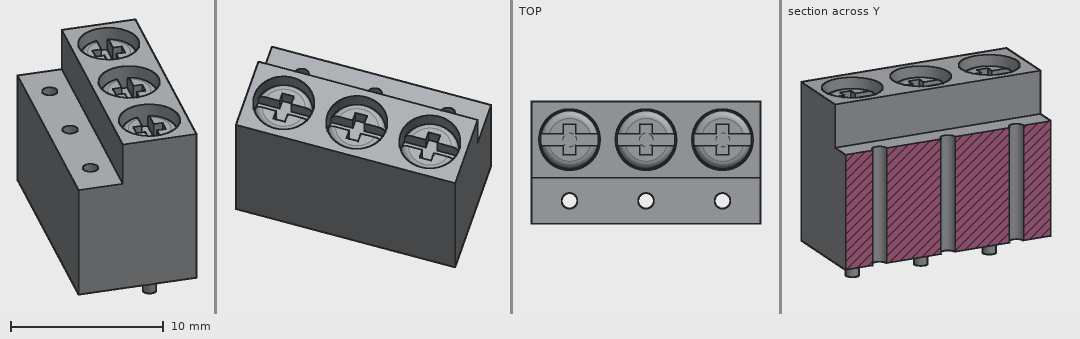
import cadquery as cq

POLES = 3
LENGTH = 15.0
PITCH = LENGTH / POLES

BLOCK_DEPTH = PITCH
SHELF_DEPTH = 3.0
DEPTH = BLOCK_DEPTH + SHELF_DEPTH
STEP_HEIGHT = 3.0
SHELF_HEIGHT = DEPTH
BLOCK_HEIGHT = SHELF_HEIGHT + STEP_HEIGHT

WIRE_HOLE_DIAMETER = 1.0

PIN_DIAMETER = 0.9
PIN_LENGTH = 2.0

POCKET_DIAMETER = 4.0
HEAD_DIAMETER = 3.8
HEAD_ROUNDING = 0.5
HEAD_RECESS = 0.6
HEAD_HEIGHT = 1.5

SLOT_WIDTH = 0.8
SLOT_DEPTH = 1.0
CROSS_LENGTH = 2.0

WIRE_ROW_Y = SHELF_DEPTH / 2
SCREW_ROW_Y = SHELF_DEPTH + BLOCK_DEPTH / 2
HEAD_TOP_Z = BLOCK_HEIGHT - HEAD_RECESS
HEAD_BASE_Z = HEAD_TOP_Z - HEAD_HEIGHT

pole_x = [(i - (POLES - 1) / 2) * PITCH for i in range(POLES)]


def at_poles(row_y, z):
    """Workplane at height z with one point per pole along a row."""
    points = [(x, row_y) for x in pole_x]
    return cq.Workplane("XY").workplane(offset=z).pushPoints(points)


def make_housing():
    """Stepped block, extruded along its length."""
    profile = [
        (0, 0),
        (DEPTH, 0),
        (DEPTH, BLOCK_HEIGHT),
        (SHELF_DEPTH, BLOCK_HEIGHT),
        (SHELF_DEPTH, SHELF_HEIGHT),
        (0, SHELF_HEIGHT),
    ]
    return cq.Workplane("YZ").polyline(profile).close().extrude(LENGTH / 2, both=True)


def make_screw_head():
    """Round-edged head with its base on Z = 0 and a crossed driver recess."""
    head = cq.Workplane("XY").circle(HEAD_DIAMETER / 2).extrude(HEAD_HEIGHT)
    head = head.faces(">Z").edges().fillet(HEAD_ROUNDING)
    top = cq.Workplane("XY").workplane(offset=HEAD_HEIGHT)
    slot = top.rect(HEAD_DIAMETER, SLOT_WIDTH).extrude(-SLOT_DEPTH)
    cross = top.rect(SLOT_WIDTH, CROSS_LENGTH).extrude(-SLOT_DEPTH)
    return head.cut(slot).cut(cross)


wire_holes = at_poles(WIRE_ROW_Y, 0).circle(WIRE_HOLE_DIAMETER / 2).extrude(SHELF_HEIGHT)
pockets = at_poles(SCREW_ROW_Y, HEAD_BASE_Z).circle(POCKET_DIAMETER / 2).extrude(HEAD_HEIGHT + HEAD_RECESS)
pins = at_poles(SCREW_ROW_Y, 0).circle(PIN_DIAMETER / 2).extrude(-PIN_LENGTH)

result = make_housing().cut(wire_holes).cut(pockets).union(pins)
screw_head = make_screw_head()
for x in pole_x:
    result = result.union(screw_head.translate((x, SCREW_ROW_Y, HEAD_BASE_Z)))